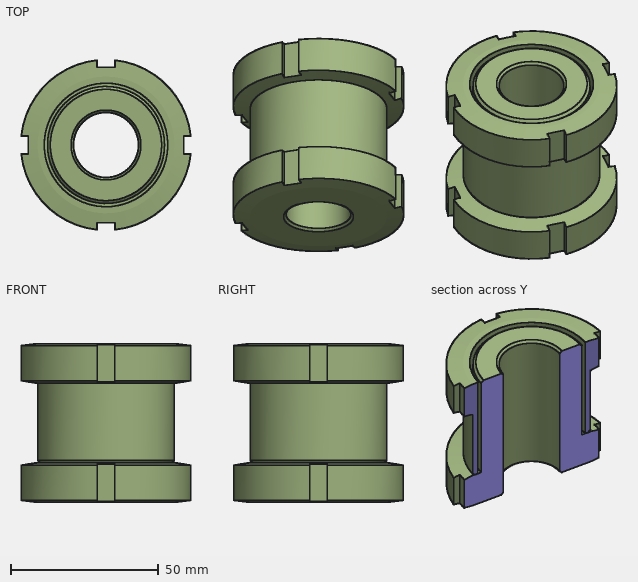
import math

import cadquery as cq

height = 54.0
outer_bevel = 0.7
inner_bevel = 0.9
rim_height = 11.95
flange_height = outer_bevel + rim_height + inner_bevel

slot_count = 4
slot_width = 6.0
slot_floor_radius = 26.5

outer_width = 57.7
flange_radius = math.hypot(outer_width / 2, slot_width / 2)

collar_radius = 23.25
collar_bottom = 14.3
collar_chamfer = collar_bottom - flange_height

stem_radius = 19.9
stem_chamfer = 1.0
bore_radius = 11.0
bore_chamfer = 0.85

clearance_radius = 21.0


def cylinder(radius, bottom, top):
    return cq.Workplane("XY").workplane(offset=bottom).circle(radius).extrude(top - bottom)


def slotted_flange():
    """Flange standing on z = 0, with beveled faces and spanner slots in its rim."""
    profile = [
        (0, 0),
        (collar_radius, 0),
        (flange_radius, outer_bevel),
        (flange_radius, outer_bevel + rim_height),
        (collar_radius, flange_height),
        (0, flange_height),
    ]
    flange = cq.Workplane("XZ").polyline(profile).close().revolve(360, (0, 0, 0), (0, 1, 0))
    slot_length = 2 * (flange_radius - slot_floor_radius)
    slot = cq.Workplane("XY").box(slot_length, slot_width, flange_height, centered=(False, True, False))
    slot = slot.translate((slot_floor_radius, 0, 0))
    for index in range(slot_count):
        angle = index * 360 / slot_count
        flange = flange.cut(slot.rotate((0, 0, 0), (0, 0, 1), angle))
    return flange


def make_base():
    """Lower flange with a bored stem reaching the top of the assembly."""
    stem = cylinder(stem_radius, 0, height).faces(">Z").chamfer(stem_chamfer)
    base = slotted_flange().union(stem)
    base = base.cut(cylinder(bore_radius, 0, height))
    bore_edges = cq.selectors.RadiusNthSelector(0)
    return base.faces("<Z or >Z").edges(bore_edges).chamfer(bore_chamfer)


def make_nut():
    """Upper flange with a collar resting on the base and a clearance hole for the stem."""
    flange = slotted_flange().mirror("XY").translate((0, 0, height))
    collar = cylinder(collar_radius, flange_height, height - flange_height)
    collar = collar.faces("<Z").chamfer(collar_chamfer)
    nut = flange.union(collar)
    return nut.cut(cylinder(clearance_radius, flange_height, height))


base = make_base()
nut = make_nut()
result = cq.Compound.makeCompound([base.val(), nut.val()])